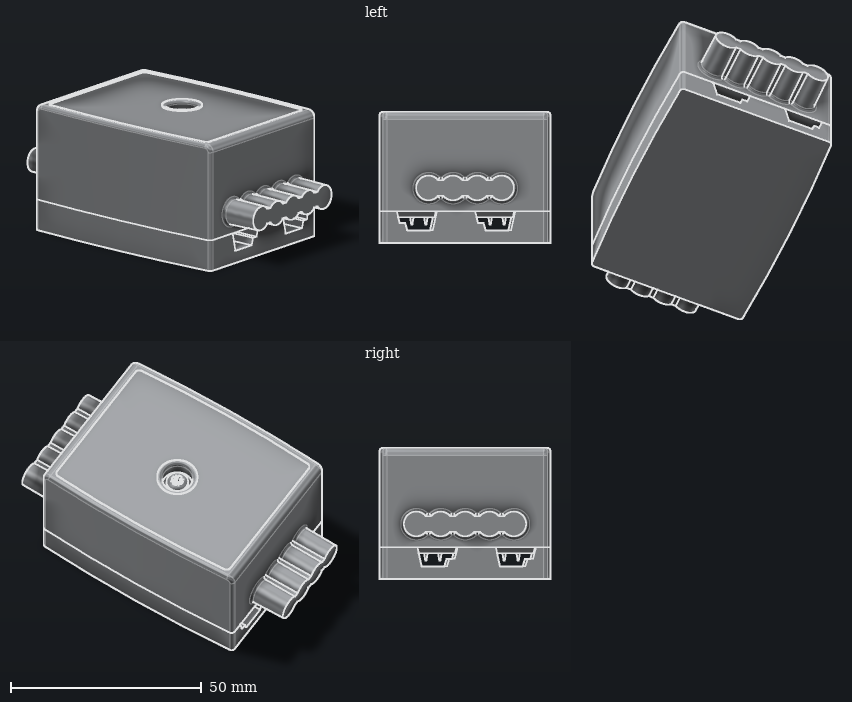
import cadquery as cq
import math

BOX_LENGTH = 60.0
BOX_END_WIDTH = 43.0
BOX_MID_WIDTH = 45.0
BOX_HEIGHT = 34.5
SPLIT_HEIGHT = 8.4
END_TOP_ROUND = 2.0
SIDE_ROUND = END_TOP_ROUND / 2

LABEL_DEPTH = 0.2
LABEL_END_MARGIN = 2.7
LABEL_SIDE_MARGIN = 1.8
LABEL_CORNER_RADIUS = 1.2
COLLAR_DIAMETER = 10.6

OVERALL_LENGTH = 80.0
CABLE_TIP_DIAMETER = 6.5
CABLE_DRAFT = 1.0
CABLE_PITCH = 6.4
CABLE_HEIGHT = 14.5
WEB_TIP_THICKNESS = 4.0
CABLE_ROOT_ROUND = 0.7
FACE_TOLERANCE = 0.1
LEFT_CABLE_COUNT = 4
RIGHT_CABLE_COUNT = 5

CHANNEL_CENTERS = (12.6, -7.9)
CHANNEL_TOP_HALF_WIDTH = 5.3
CHANNEL_FLOOR = 3.4
LEDGE_HEIGHT = 5.3
LEDGE_OUTER = 4.5
LEDGE_INNER = 3.0
FLOOR_LEFT = 2.5
FLOOR_RIGHT = -4.2
CHANNEL_DRIFT = 0.7

TONGUE_LENGTH = 12.0
TONGUE_BOTTOM = 6.7
PIN_BOTTOM = 4.8
PIN_ROOT_RADIUS = 0.5
PIN_TIP_RADIUS = 0.2
PIN_OFFSETS = (1.0, -2.7)

SCREW_Y = 2.6
HEAD_HOLE_DIAMETER = 8.0
HEAD_HOLE_DEPTH = 4.0
HEAD_HOLE_ROUND = 1.0
HEAD_DIAMETER = 5.7
HEAD_RIM_HEIGHT = 1.6
HEAD_DOME_HEIGHT = 1.0
SHANK_DIAMETER = 3.2
SHANK_BOTTOM = 3.2
CROSS_LENGTH = 3.5
CROSS_WIDTH = 0.9
CROSS_DEPTH = 1.6
TICK_INNER_RADIUS = 1.0
TICK_OUTER_RADIUS = 1.7
TICK_WIDTH = 0.12
TICK_DEPTH = 0.4

STUB_LENGTH = (OVERALL_LENGTH - BOX_LENGTH) / 2
STUB_GROWTH = 2 * STUB_LENGTH * math.tan(math.radians(CABLE_DRAFT))
CABLE_ROOT_DIAMETER = CABLE_TIP_DIAMETER + STUB_GROWTH
WEB_ROOT_THICKNESS = WEB_TIP_THICKNESS + STUB_GROWTH

HEAD_SEAT = BOX_HEIGHT - HEAD_HOLE_DEPTH
HEAD_TOP = HEAD_SEAT + HEAD_RIM_HEIGHT + HEAD_DOME_HEIGHT


def bowed_outline(height, length, end_width, mid_width):
    """Rectangle with flat ends and outward-bowed long sides, drawn at a given height."""
    x = length / 2
    y = end_width / 2
    crown = mid_width / 2
    return (
        cq.Workplane("XY", origin=(0, 0, height))
        .moveTo(-x, -y)
        .threePointArc((0, -crown), (x, -y))
        .lineTo(x, y)
        .threePointArc((0, crown), (-x, y))
        .close()
    )


def enclosure_block():
    """Complete outer shape of base and cover together."""
    block = bowed_outline(0, BOX_LENGTH, BOX_END_WIDTH, BOX_MID_WIDTH).extrude(BOX_HEIGHT)
    block = block.faces(">Z").edges("|Y").fillet(END_TOP_ROUND)
    return block.faces("<Y or >Y").edges("not <Z").fillet(SIDE_ROUND)


def slab(length, bottom, top):
    """Block wider than the enclosure that keeps one range of length and height."""
    return cq.Workplane("XY", origin=(0, 0, bottom)).box(
        length, 2 * BOX_MID_WIDTH, top - bottom, centered=(True, True, False)
    )


def channel(center):
    """Stepped channel that drifts sideways along the box."""
    section = [
        (CHANNEL_TOP_HALF_WIDTH, SPLIT_HEIGHT),
        (LEDGE_OUTER, LEDGE_HEIGHT),
        (LEDGE_INNER, LEDGE_HEIGHT),
        (FLOOR_LEFT, CHANNEL_FLOOR),
        (FLOOR_RIGHT, CHANNEL_FLOOR),
        (-CHANNEL_TOP_HALF_WIDTH, SPLIT_HEIGHT),
    ]
    corners = [cq.Vector(-BOX_LENGTH / 2, center + y, z) for y, z in section]
    wire = cq.Wire.makePolygon(corners, close=True)
    return cq.Workplane(cq.Solid.extrudeLinear(wire, [], cq.Vector(BOX_LENGTH, CHANNEL_DRIFT, 0)))


def vertical_cylinder(diameter, bottom, top):
    """Cylinder on the screw axis."""
    return cq.Workplane("XY", origin=(0, SCREW_Y, bottom)).circle(diameter / 2).extrude(top - bottom)


def cable_stub(count, side):
    """Row of cables joined by a web, leaving one end (side = -1 or 1) of the box."""
    row = (count - 1) * CABLE_PITCH
    root = cq.Workplane(
        cq.Plane(
            origin=(side * BOX_LENGTH / 2, 0, CABLE_HEIGHT),
            xDir=(0, 1, 0),
            normal=(side, 0, 0),
        )
    )
    stub = root.rect(row, WEB_ROOT_THICKNESS).extrude(STUB_LENGTH, taper=CABLE_DRAFT)
    for index in range(count):
        y = index * CABLE_PITCH - row / 2
        cable = root.center(y, 0).circle(CABLE_ROOT_DIAMETER / 2)
        stub = stub.union(cable.extrude(STUB_LENGTH, taper=CABLE_DRAFT))
    return stub


def stub_root_edges(side):
    """Selector for the edges where a cable stub meets the end of the box."""
    x = side * BOX_LENGTH / 2
    half_width = BOX_END_WIDTH / 2 - SIDE_ROUND
    return cq.selectors.BoxSelector(
        (x - FACE_TOLERANCE, -half_width, CABLE_HEIGHT - CABLE_ROOT_DIAMETER / 2),
        (x + FACE_TOLERANCE, half_width, CABLE_HEIGHT + CABLE_ROOT_DIAMETER / 2),
    )


def label_recess():
    """Shallow recess in the top face, with an island around the screw hole."""
    recess = bowed_outline(
        BOX_HEIGHT - LABEL_DEPTH,
        BOX_LENGTH - 2 * LABEL_END_MARGIN,
        BOX_END_WIDTH - 2 * LABEL_SIDE_MARGIN,
        BOX_MID_WIDTH - 2 * LABEL_SIDE_MARGIN,
    ).extrude(LABEL_DEPTH)
    recess = recess.edges("|Z").fillet(LABEL_CORNER_RADIUS)
    return recess.cut(vertical_cylinder(COLLAR_DIAMETER, BOX_HEIGHT - LABEL_DEPTH, BOX_HEIGHT))


def tongue(center):
    """Tongue that fills the top of a channel, with two tapered pins below it."""
    body = channel(center).intersect(slab(TONGUE_LENGTH, TONGUE_BOTTOM, SPLIT_HEIGHT))
    for offset in PIN_OFFSETS:
        pin = cq.Solid.makeCone(
            PIN_ROOT_RADIUS,
            PIN_TIP_RADIUS,
            TONGUE_BOTTOM - PIN_BOTTOM,
            pnt=cq.Vector(0, center + CHANNEL_DRIFT / 2 + offset, TONGUE_BOTTOM),
            dir=cq.Vector(0, 0, -1),
        )
        body = body.union(cq.Workplane(pin))
    return body


def make_cover():
    cover = enclosure_block().intersect(slab(OVERALL_LENGTH, SPLIT_HEIGHT, BOX_HEIGHT))
    for count, side in ((LEFT_CABLE_COUNT, -1), (RIGHT_CABLE_COUNT, 1)):
        cover = cover.union(cable_stub(count, side))
        cover = cover.edges(stub_root_edges(side)).fillet(CABLE_ROOT_ROUND)

    cover = cover.cut(vertical_cylinder(HEAD_HOLE_DIAMETER, HEAD_SEAT, BOX_HEIGHT))
    cover = cover.faces(">Z").edges("%CIRCLE").fillet(HEAD_HOLE_ROUND)
    cover = cover.cut(vertical_cylinder(SHANK_DIAMETER, SPLIT_HEIGHT, HEAD_SEAT))
    cover = cover.cut(label_recess())

    for center in CHANNEL_CENTERS:
        cover = cover.union(tongue(center))
    return cover


def make_base():
    base = enclosure_block().intersect(slab(OVERALL_LENGTH, 0, SPLIT_HEIGHT))
    for center in CHANNEL_CENTERS:
        base = base.cut(channel(center))
    return base.cut(vertical_cylinder(SHANK_DIAMETER, SHANK_BOTTOM, SPLIT_HEIGHT))


def cross_arm(size_x, size_y):
    """One arm of the cross recess, sloping down to a square at its bottom."""
    return (
        cq.Workplane("XY", origin=(0, SCREW_Y, HEAD_TOP))
        .rect(size_x, size_y)
        .workplane(offset=-CROSS_DEPTH)
        .rect(CROSS_WIDTH, CROSS_WIDTH)
        .loft(ruled=True)
    )


def tick_marks():
    """Four thin grooves set diagonally between the arms of the cross."""
    middle_radius = (TICK_INNER_RADIUS + TICK_OUTER_RADIUS) / 2
    return (
        cq.Workplane("XY", origin=(0, SCREW_Y, HEAD_TOP))
        .polarArray(middle_radius, 45, 360, 4)
        .rect(TICK_OUTER_RADIUS - TICK_INNER_RADIUS, TICK_WIDTH)
        .extrude(-TICK_DEPTH)
    )


def make_screw():
    head_radius = HEAD_DIAMETER / 2
    rim_top = HEAD_SEAT + HEAD_RIM_HEIGHT
    dome_radius = (head_radius**2 + HEAD_DOME_HEIGHT**2) / (2 * HEAD_DOME_HEIGHT)
    dome_center = HEAD_TOP - dome_radius
    mid_angle = math.asin(head_radius / dome_radius) / 2
    dome_mid = (dome_radius * math.sin(mid_angle), dome_center + dome_radius * math.cos(mid_angle))

    screw = (
        cq.Workplane("XZ", origin=(0, SCREW_Y, 0))
        .moveTo(0, SHANK_BOTTOM)
        .lineTo(SHANK_DIAMETER / 2, SHANK_BOTTOM)
        .lineTo(SHANK_DIAMETER / 2, HEAD_SEAT)
        .lineTo(head_radius, HEAD_SEAT)
        .lineTo(head_radius, rim_top)
        .threePointArc(dome_mid, (0, HEAD_TOP))
        .close()
        .revolve(360, (0, 0, 0), (0, 1, 0))
    )
    screw = screw.cut(cross_arm(CROSS_LENGTH, CROSS_WIDTH))
    screw = screw.cut(cross_arm(CROSS_WIDTH, CROSS_LENGTH))
    return screw.cut(tick_marks())


cover = make_cover()
base = make_base()
screw = make_screw()

result = cq.Compound.makeCompound([cover.val(), base.val(), screw.val()])